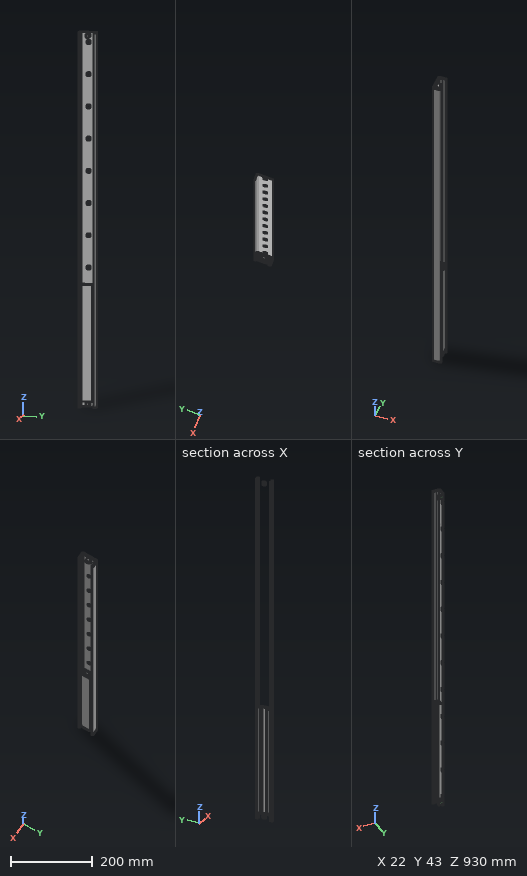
import cadquery as cq

LENGTH = 930.0
WIDTH = 43.0

RAIL_DEPTH = 21.0
WEB_THICKNESS = 3.5
FLANGE_THICKNESS = 4.5
CORNER_RADIUS = 2.5

RACEWAY_DIAMETER = 10.0
RACEWAY_X = 15.0
RACEWAY_Y = 13.5

HOLE_DIAMETER = 9.0
HOLE_PITCH = 80.0
HOLE_END_DISTANCE = 25.0
HOLE_COUNT = 12

PIN_DIAMETER = 10.0
PIN_END_DISTANCE = 8.0
PIN_HEIGHTS = (PIN_END_DISTANCE, LENGTH - PIN_END_DISTANCE)
PIN_TIP_X = 13.0

SLIDER_LENGTH = 290.0
SLIDER_BOTTOM_Z = 15.0
SLIDER_TOP_Z = SLIDER_BOTTOM_Z + SLIDER_LENGTH
SLIDER_WIDTH = 26.5
SLIDER_BACK_X = 11.0
SLIDER_FRONT_X = 22.0
SLIDER_WEB_X = 16.5
SLIDER_CHANNEL_WIDTH = 11.5

CAGE_THICKNESS = 2.0
CAGE_WIDTH = SLIDER_WIDTH + 2 * CAGE_THICKNESS
CAGE_BACK_X = 6.5
CAGE_FRONT_X = 19.5

SIDES = (-1, 1)


def block(x_min, x_max, width, z_min, z_max):
    """Box centred on Y between the given X and Z limits."""
    return (
        cq.Workplane("XY")
        .box(x_max - x_min, width, z_max - z_min, centered=(False, True, False))
        .translate((x_min, 0, z_min))
    )


def rod_along_x(diameter, x_max, z):
    """Cylinder on the centre line of the web, from the back face to x_max."""
    return cq.Workplane("YZ").center(0, z).circle(diameter / 2).extrude(x_max)


def raceways():
    """Two full-length round bars that cut the ball grooves."""
    centres = [(RACEWAY_X, side * RACEWAY_Y) for side in SIDES]
    return cq.Workplane("XY").pushPoints(centres).circle(RACEWAY_DIAMETER / 2).extrude(LENGTH)


def make_rail():
    rail = block(0, RAIL_DEPTH, WIDTH, 0, LENGTH).edges("|Z").fillet(CORNER_RADIUS)
    rail = rail.cut(block(WEB_THICKNESS, RAIL_DEPTH, WIDTH - 2 * FLANGE_THICKNESS, 0, LENGTH))
    rail = rail.cut(raceways())
    for index in range(HOLE_COUNT):
        z = HOLE_END_DISTANCE + index * HOLE_PITCH
        rail = rail.cut(rod_along_x(HOLE_DIAMETER, WEB_THICKNESS, z))
    for z in PIN_HEIGHTS:
        rail = rail.cut(rod_along_x(PIN_DIAMETER, WEB_THICKNESS, z))
    return rail


def make_slider():
    slider = block(SLIDER_BACK_X, SLIDER_FRONT_X, SLIDER_WIDTH, SLIDER_BOTTOM_Z, SLIDER_TOP_Z)
    channel = block(SLIDER_BACK_X, SLIDER_WEB_X, SLIDER_CHANNEL_WIDTH, SLIDER_BOTTOM_Z, SLIDER_TOP_Z)
    return slider.cut(channel).cut(raceways())


def make_cage():
    cage = block(CAGE_BACK_X, CAGE_FRONT_X, CAGE_WIDTH, SLIDER_BOTTOM_Z, SLIDER_TOP_Z)
    inside_x = CAGE_BACK_X + CAGE_THICKNESS
    inside = block(inside_x, CAGE_FRONT_X, SLIDER_WIDTH, SLIDER_BOTTOM_Z, SLIDER_TOP_Z)
    return cage.cut(inside)


rail = make_rail()
slider = make_slider()
cage = make_cage()
pins = [rod_along_x(PIN_DIAMETER, PIN_TIP_X, z) for z in PIN_HEIGHTS]

result = cq.Compound.makeCompound([rail.val(), slider.val(), cage.val(), *[pin.val() for pin in pins]])